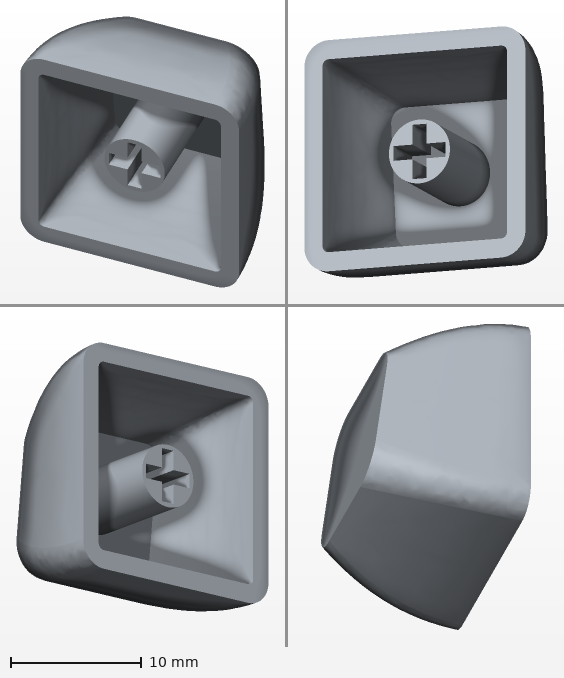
import cadquery as cq

base_width = 18.1
base_corner_radius = 2.0
top_width = 12.7
top_corner_radius = 2.7
overall_depth = 11.95
tilt_angle = 7.0
wall = 1.5
floor_width = 10.8

mid_share = 0.25

plate_width = 8.4
plate_height = 5.1
plate_thickness = wall / 2
plate_drop = 0.2

stem_diameter = 5.0
stem_recess = 1.0
cross_span = 4.25
cross_arm = 1.15
cross_depth = 4.0


def tilted_plane(distance, angle):
    """Plane facing +Y at the given distance from the rim, leaning back towards +Z."""
    plane = cq.Plane(origin=(0, distance, 0), xDir=(-1, 0, 0), normal=(0, 1, 0))
    return plane.rotated((-angle, 0, 0))


lean = tilted_plane(0, tilt_angle)
top_distance = overall_depth - top_width / 2 * abs(lean.yDir.y)
top_plane = tilted_plane(top_distance, tilt_angle)
floor_distance = top_distance - wall / abs(lean.zDir.y)
floor_plane = tilted_plane(floor_distance, tilt_angle)


def rounded_square(width, corner_radius, plane):
    sketch = cq.Sketch().rect(width, width).vertices().fillet(corner_radius)
    return sketch.moved(plane.location)


def between(rim_value, end_value):
    return rim_value + mid_share * (end_value - rim_value)


def curved_taper(rim_width, rim_radius, end_width, end_radius, end_plane):
    """Solid that narrows along a parabola from the upright rim to the tilted end plane."""
    mid_plane = tilted_plane(end_plane.origin.y / 2, tilt_angle / 2)
    return cq.Workplane("XY").placeSketch(
        rounded_square(rim_width, rim_radius, tilted_plane(0, 0)),
        rounded_square(between(rim_width, end_width), between(rim_radius, end_radius), mid_plane),
        rounded_square(end_width, end_radius, end_plane),
    ).loft()


def make_shell_body():
    outside = curved_taper(base_width, base_corner_radius, top_width, top_corner_radius, top_plane)
    cavity = curved_taper(
        base_width - 2 * wall,
        base_corner_radius - wall,
        floor_width,
        top_corner_radius - wall,
        floor_plane,
    )
    return outside.cut(cavity)


def make_plate():
    return (
        cq.Workplane(floor_plane)
        .center(0, -plate_drop)
        .rect(plate_width, plate_height)
        .extrude(plate_thickness)
    )


def make_stem():
    """Round post from its end plane up to the tilted floor, with a cross socket in the end."""
    end_plane = tilted_plane(stem_recess, 0)
    post = cq.Workplane(end_plane).circle(stem_diameter / 2).extrude(overall_depth)
    beyond_floor = cq.Workplane(floor_plane).rect(base_width, base_width).extrude(overall_depth)
    socket = cq.Workplane(end_plane).rect(cross_span, cross_arm).extrude(cross_depth)
    socket = socket.union(cq.Workplane(end_plane).rect(cross_arm, cross_span).extrude(cross_depth))
    return post.cut(beyond_floor).cut(socket)


plate = make_plate()
shell_body = make_shell_body().cut(plate)
insert = plate.union(make_stem())

result = cq.Compound.makeCompound([shell_body.val(), insert.val()])